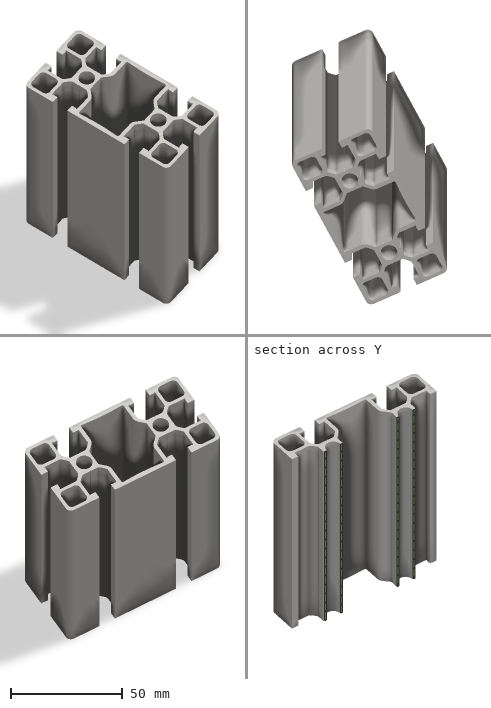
import cadquery as cq

width = 80.0
depth = 40.0
length = 100.0
corner_radius = 2.6

half_cell = depth / 2
core_x = width / 2 - half_cell
core_hole_diameter = 7.47
core_half = 5.5

slot_mouth = 8.1
slot_chamber = 14.0
lip_thickness = 3.5
lip_relief_width = 0.6
lip_relief_depth = 0.2
slot_bevel = 3.0
slot_bevel_bow = 0.15
floor_groove_width = 0.5
floor_groove_depth = 0.25

corner_wall = 1.6
corner_chamber = half_cell - slot_chamber / 2 - 2 * corner_wall
corner_chamber_radius = 2.2

cavity_wall = 1.8
cavity_crown = 0.5
cavity_corner_radius = 0.8
cavity_half_width = 11.1
cavity_middle_half_width = 15.0
cavity_shoulder_y = 7.9
cavity_middle_y = cavity_shoulder_y - (cavity_middle_half_width - cavity_half_width)
cavity_bend_radius = 4.0


def make_blank():
    """Solid bar with rounded long corners."""
    bar = cq.Workplane("XY").box(width, depth, length, centered=(True, True, False))
    return bar.edges("|Z").fillet(corner_radius)


def make_slot():
    """T-slot void opening toward +Y, with the core axis of its cell at the origin."""
    mouth = slot_mouth / 2
    chamber = slot_chamber / 2
    lip_y = half_cell - lip_thickness
    relief_x = chamber - lip_relief_width
    relief_y = lip_y + lip_relief_depth
    floor_x = chamber - slot_bevel
    shoulder_y = core_half + slot_bevel
    bevel_inset = slot_bevel / 2 - slot_bevel_bow
    bevel_x = chamber - bevel_inset
    bevel_y = core_half + bevel_inset
    groove_x = floor_groove_width / 2
    return (
        cq.Workplane("XY")
        .moveTo(0, core_half - floor_groove_depth)
        .lineTo(groove_x, core_half)
        .lineTo(floor_x, core_half)
        .threePointArc((bevel_x, bevel_y), (chamber, shoulder_y))
        .lineTo(chamber, relief_y)
        .lineTo(relief_x, relief_y)
        .lineTo(relief_x, lip_y)
        .lineTo(mouth, lip_y)
        .lineTo(mouth, half_cell)
        .lineTo(-mouth, half_cell)
        .lineTo(-mouth, lip_y)
        .lineTo(-relief_x, lip_y)
        .lineTo(-relief_x, relief_y)
        .lineTo(-chamber, relief_y)
        .lineTo(-chamber, shoulder_y)
        .threePointArc((-bevel_x, bevel_y), (-floor_x, core_half))
        .lineTo(-groove_x, core_half)
        .close()
        .extrude(length)
    )


def round_edges(solid, half_x, half_y, radius):
    """Fillet the four upright edges at (+-half_x, +-half_y)."""
    for x in (-half_x, half_x):
        for y in (-half_y, half_y):
            edge = cq.selectors.NearestToPointSelector((x, y, length / 2))
            solid = solid.edges(edge).fillet(radius)
    return solid


def make_cavity():
    """Central void: crowned long walls, narrow beside the slots and wide between the cores."""
    wall_y = depth / 2 - cavity_wall
    crown_y = wall_y - cavity_crown
    cavity = (
        cq.Workplane("XY")
        .moveTo(-cavity_half_width, wall_y)
        .threePointArc((0, crown_y), (cavity_half_width, wall_y))
        .lineTo(cavity_half_width, cavity_shoulder_y)
        .lineTo(cavity_middle_half_width, cavity_middle_y)
        .lineTo(cavity_middle_half_width, -cavity_middle_y)
        .lineTo(cavity_half_width, -cavity_shoulder_y)
        .lineTo(cavity_half_width, -wall_y)
        .threePointArc((0, -crown_y), (-cavity_half_width, -wall_y))
        .lineTo(-cavity_half_width, -cavity_shoulder_y)
        .lineTo(-cavity_middle_half_width, -cavity_middle_y)
        .lineTo(-cavity_middle_half_width, cavity_middle_y)
        .lineTo(-cavity_half_width, cavity_shoulder_y)
        .close()
        .extrude(length)
    )
    cavity = round_edges(cavity, cavity_half_width, cavity_shoulder_y, cavity_bend_radius)
    return round_edges(cavity, cavity_half_width, wall_y, cavity_corner_radius)


def cut_slots(body):
    """Slots on both long faces of each cell and on the outer narrow faces."""
    slot = make_slot()
    for side in (-1, 1):
        for angle in (0, 180, -90 * side):
            turned = slot.rotate((0, 0, 0), (0, 0, 1), angle)
            body = body.cut(turned.translate((side * core_x, 0, 0)))
    return body


def cut_corner_chambers(body):
    """Rounded square voids in the four corners."""
    inset = corner_wall + corner_chamber / 2
    chambers = (
        cq.Workplane("XY")
        .rect(width - 2 * inset, depth - 2 * inset, forConstruction=True)
        .vertices()
        .rect(corner_chamber, corner_chamber)
        .extrude(length)
        .edges("|Z")
        .fillet(corner_chamber_radius)
    )
    return body.cut(chambers)


def cut_core_holes(body):
    """Round through hole along each core."""
    holes = cq.Workplane("XY").pushPoints([(-core_x, 0), (core_x, 0)]).circle(core_hole_diameter / 2)
    return body.cut(holes.extrude(length))


result = make_blank()
result = cut_slots(result)
result = cut_corner_chambers(result)
result = result.cut(make_cavity())
result = cut_core_holes(result)